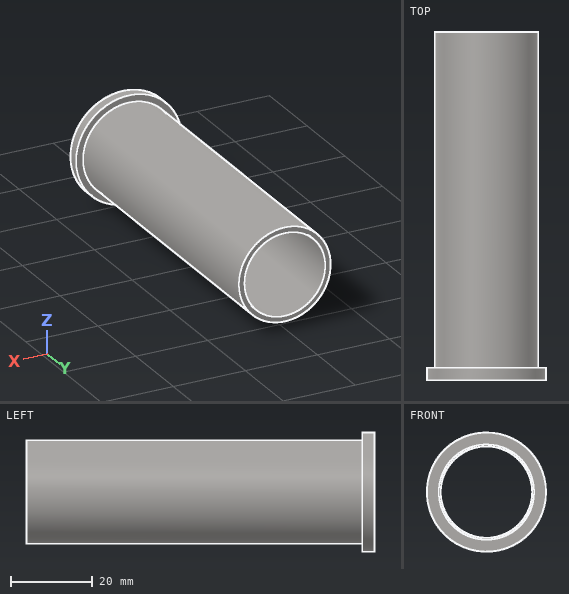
import cadquery as cq

total_length = 85.7
flange_diameter = 29.4
flange_thickness = 3.1
tube_diameter = 25.5
bore_diameter = 22.45
mouth_chamfer = 0.5

flange_face_y = -total_length / 2


def cylinder_along_y(diameter, length):
    """Cylinder that starts at the flange face and runs toward +Y."""
    plane = cq.Workplane("XZ", origin=(0, flange_face_y, 0))
    return plane.circle(diameter / 2).extrude(-length)


tube = cylinder_along_y(tube_diameter, total_length)
flange = cylinder_along_y(flange_diameter, flange_thickness)
bore = cylinder_along_y(bore_diameter, total_length)

sleeve = tube.union(flange).cut(bore)

bore_mouth = cq.selectors.RadiusNthSelector(0)
result = sleeve.faces("<Y").edges(bore_mouth).chamfer(mouth_chamfer)